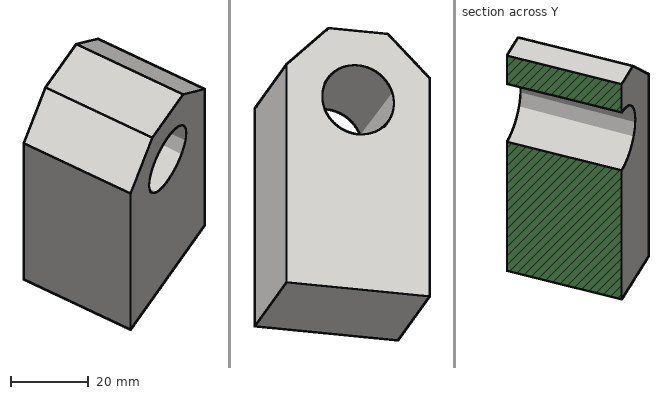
import cadquery as cq

width = 31.7
depth = 38.1
height = 71.45

corner_chamfer = 11.15
hole_diameter = depth / 2
hole_drop = depth / 2

block = cq.Workplane("XY").box(width, depth, height, centered=(True, True, False))

block = block.faces(">Z").edges("|X").chamfer(corner_chamfer)

hole = (
    cq.Workplane("YZ")
    .center(0, height - hole_drop)
    .circle(hole_diameter / 2)
    .extrude(width, both=True)
)

result = block.cut(hole)